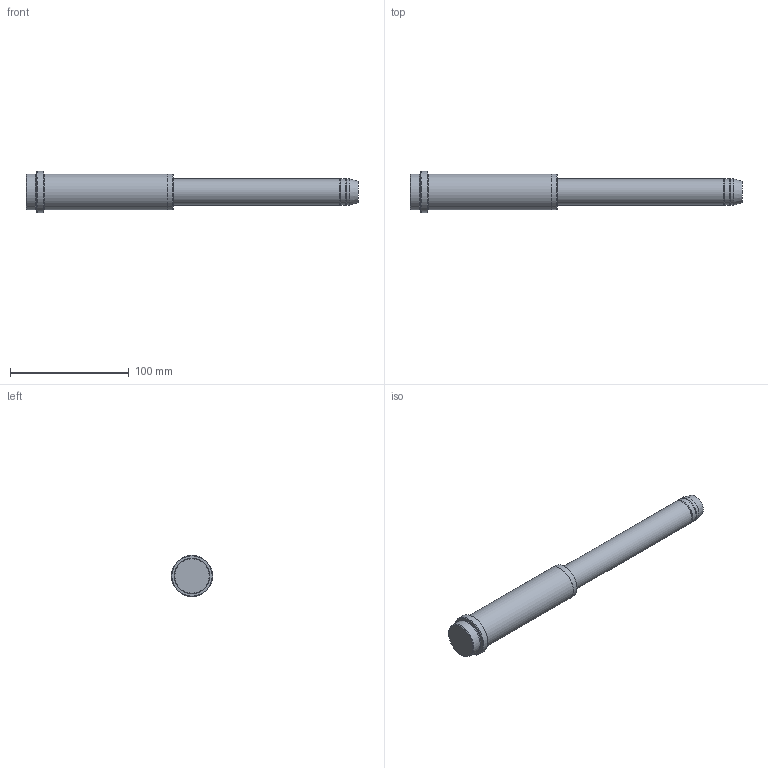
import cadquery as cq
import math

total_length = 280.0
collar_start = 9.0
collar_end = 15.0
shoulder_x = 124.0
lead_length = 5.0
nose_length = 7.0

nose_angle = 15.0

collar_diameter = 35.0
body_diameter = 30.0
lead_diameter = 29.98
pin_diameter = 22.0

edge_chamfer = 0.5

groove_width = 1.0
relief_groove_starts = (collar_start - groove_width, collar_end)
nose_groove_starts = (264.5, 269.5)


def turned_blank():
    """Revolve the stepped outline, ending in a conical nose."""
    collar_radius = collar_diameter / 2
    body_radius = body_diameter / 2
    lead_radius = lead_diameter / 2
    pin_radius = pin_diameter / 2
    tip_radius = pin_radius - nose_length * math.tan(math.radians(nose_angle))
    lead_start = shoulder_x - lead_length
    nose_start = total_length - nose_length

    outline = (
        cq.Workplane("XY")
        .moveTo(0, 0)
        .lineTo(0, body_radius - edge_chamfer)
        .lineTo(edge_chamfer, body_radius)
        .lineTo(collar_start, body_radius)
        .lineTo(collar_start, collar_radius - edge_chamfer)
        .lineTo(collar_start + edge_chamfer, collar_radius)
        .lineTo(collar_end - edge_chamfer, collar_radius)
        .lineTo(collar_end, collar_radius - edge_chamfer)
        .lineTo(collar_end, body_radius)
        .lineTo(lead_start, body_radius)
        .lineTo(lead_start, lead_radius)
        .lineTo(shoulder_x - edge_chamfer, lead_radius)
        .lineTo(shoulder_x, lead_radius - edge_chamfer)
        .lineTo(shoulder_x, pin_radius)
        .lineTo(nose_start, pin_radius)
        .lineTo(total_length, tip_radius)
        .lineTo(total_length, 0)
        .close()
    )
    return outline.revolve(360, (0, 0, 0), (1, 0, 0))


def half_round_groove(start_x, surface_diameter):
    """Cutter for a half-round groove in a cylinder of the given diameter.

    Its section is the lower half disc, so it never reaches above the surface.
    """
    surface_radius = surface_diameter / 2
    groove_radius = groove_width / 2
    section = (
        cq.Workplane("XY")
        .moveTo(start_x, surface_radius)
        .threePointArc(
            (start_x + groove_radius, surface_radius - groove_radius),
            (start_x + groove_width, surface_radius),
        )
        .close()
    )
    return section.revolve(360, (0, 0, 0), (1, 0, 0))


result = turned_blank()
for groove_start in relief_groove_starts:
    result = result.cut(half_round_groove(groove_start, body_diameter))
for groove_start in nose_groove_starts:
    result = result.cut(half_round_groove(groove_start, pin_diameter))